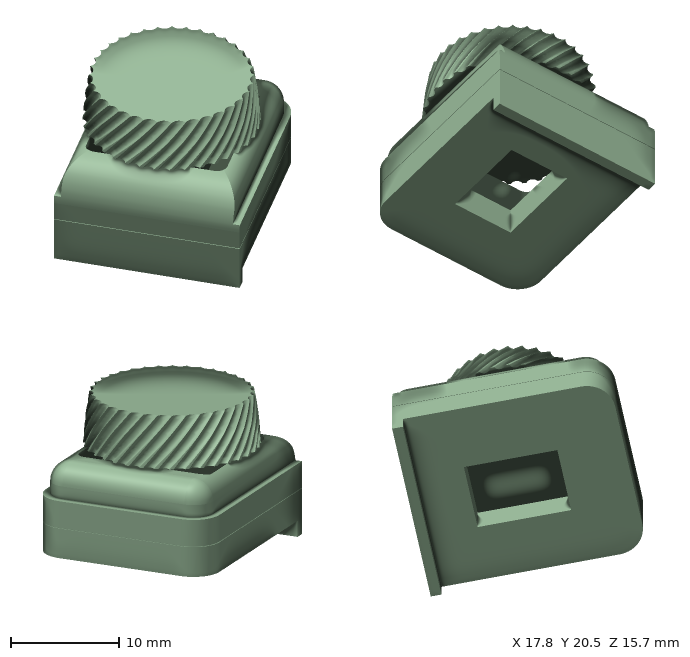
import cadquery as cq
import math

width = 17.8
length = 20.5
corner_radius = 2.66
front_y = -length / 2
back_y = length / 2

lip_depth = 1.0
base_bottom = 1.55
base_top = 4.45
opening_width = 6.35
opening_length = 8.82

body_gap = 0.06
housing_bottom = base_top + body_gap
housing_top = 10.31
flange_top = 7.1
crown_side_inset = 0.65
crown_back_inset = 0.72
crown_radius = 2.0
front_round_radius = 4.0
window_width = 13.53
window_length = 13.02
window_radius = 0.95
window_offset = -0.25

knob_offset = -0.3
knob_bottom = 10.65
knob_waist = 13.47
knob_top = 15.65
bottom_radius = 8.25
waist_radius = 8.0
top_radius = 7.65
bottom_groove_depth = 0.35
waist_groove_depth = 0.43
top_groove_depth = 0.37
bottom_land_width = 0.39
upper_land_width = 0.02
groove_count = 36
groove_pitch = 360 / groove_count
total_twist = 30.0
sections_per_stage = 10


def rounded_outline_block(bottom, top):
    """Full-size block with the two back vertical edges rounded."""
    block = cq.Workplane("XY").box(width, length, top - bottom, centered=(True, True, False))
    return block.translate((0, 0, bottom)).edges("|Z and >Y").fillet(corner_radius)


def make_base():
    """Block with the lip along its front and an opening straight through below the knob."""
    block = rounded_outline_block(base_bottom, base_top)
    lip = cq.Workplane("XY").box(width, lip_depth, base_bottom, centered=(True, False, False))
    opening = (
        cq.Workplane("XY")
        .center(knob_offset, knob_offset)
        .rect(opening_width, opening_length)
        .extrude(base_top)
    )
    return block.union(lip.translate((0, front_y, 0))).cut(opening)


def make_crown():
    """Raised block, rounded along the sides and the back."""
    crown_width = width - 2 * crown_side_inset
    crown_length = length - crown_back_inset
    crown = (
        cq.Workplane("XY")
        .box(crown_width, crown_length, housing_top - housing_bottom, centered=(True, False, False))
        .translate((0, front_y, housing_bottom))
    )
    crown = crown.edges("|Z and >Y").fillet(crown_radius)
    return crown.faces(">Z").edges("not <Y").fillet(crown_radius)


def make_front_round():
    """Prism whose top front edge is the large round of the housing front."""
    arc_bottom = housing_top - front_round_radius
    arc_back = front_y + front_round_radius
    arc_middle = front_round_radius * math.sqrt(0.5)
    return (
        cq.Workplane("YZ")
        .moveTo(front_y, housing_bottom)
        .lineTo(front_y, arc_bottom)
        .threePointArc((arc_back - arc_middle, arc_bottom + arc_middle), (arc_back, housing_top))
        .lineTo(back_y, housing_top)
        .lineTo(back_y, housing_bottom)
        .close()
        .extrude(width / 2, both=True)
    )


def make_housing():
    """Flange and crown with the large front round, pierced by the window."""
    window = (
        cq.Workplane("XY")
        .box(window_width, window_length, housing_top - housing_bottom, centered=(True, True, False))
        .edges("|Z")
        .fillet(window_radius)
        .translate((window_offset, window_offset, housing_bottom))
    )
    shell = rounded_outline_block(housing_bottom, flange_top).union(make_crown())
    return shell.intersect(make_front_round()).cut(window)


def twist_at(height):
    """Turn of the grooves at a height, in degrees, measured from the top face."""
    return total_twist * (height - knob_top) / (knob_top - knob_bottom)


def knob_section(height, radius, groove_depth, land_width):
    """Closed outline at one height: round-bottomed grooves joined by short straight lands."""

    def rim_point(distance, angle):
        turn = math.radians(angle + twist_at(height))
        return cq.Vector(distance * math.cos(turn), distance * math.sin(turn), height)

    half_land = math.degrees(math.asin(land_width / 2 / radius))
    edges = []
    for index in range(groove_count):
        groove_angle = index * groove_pitch
        land_angle = groove_angle + groove_pitch / 2
        groove_start = rim_point(radius, groove_angle - groove_pitch / 2 + half_land)
        groove_floor = rim_point(radius - groove_depth, groove_angle)
        groove_end = rim_point(radius, land_angle - half_land)
        land_end = rim_point(radius, land_angle + half_land)
        edges.append(cq.Edge.makeThreePointArc(groove_start, groove_floor, groove_end))
        edges.append(cq.Edge.makeLine(groove_end, land_end))
    return cq.Wire.assembleEdges(edges)


def knob_stage(lower_rim, upper_rim):
    """Twisted solid between two rims, each given as height, radius, groove depth and land width."""
    sections = []
    for step in range(sections_per_stage):
        share = step / (sections_per_stage - 1)
        sizes = [low + share * (high - low) for low, high in zip(lower_rim, upper_rim)]
        sections.append(knob_section(*sizes))
    return cq.Solid.makeLoft(sections)


def make_knob():
    """Grooved drum whose taper steepens above the waist."""
    bottom_rim = (knob_bottom, bottom_radius, bottom_groove_depth, bottom_land_width)
    waist_rim = (knob_waist, waist_radius, waist_groove_depth, upper_land_width)
    top_rim = (knob_top, top_radius, top_groove_depth, upper_land_width)
    lower = cq.Workplane(knob_stage(bottom_rim, waist_rim))
    upper = cq.Workplane(knob_stage(waist_rim, top_rim))
    skin = lower.faces("not >Z").vals() + upper.faces("not <Z").vals()
    knob = cq.Workplane(cq.Solid.makeSolid(cq.Shell.makeShell(skin)))
    return knob.translate((knob_offset, knob_offset, 0))


base = make_base()
housing = make_housing()
knob = make_knob()

result = cq.Compound.makeCompound([base.solids().val(), housing.solids().val(), knob.val()])